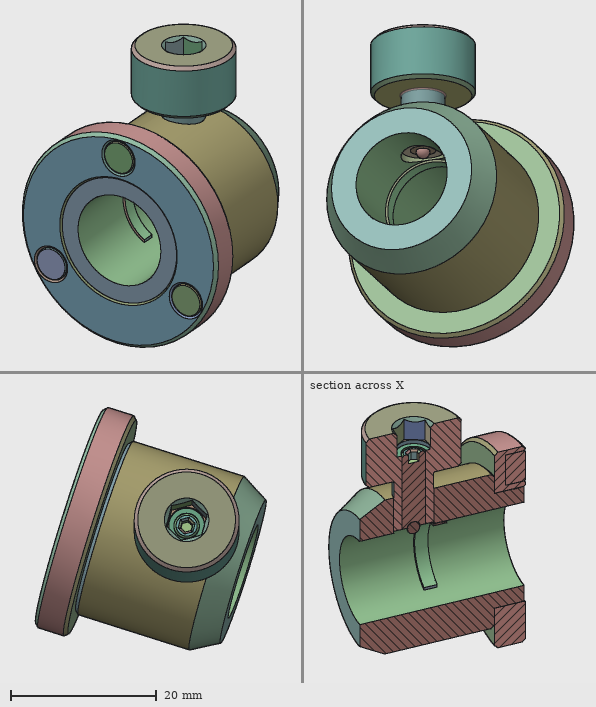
import cadquery as cq
import math


overall_height = 38.82

flange_diameter = 31.75
flange_radius = flange_diameter / 2
flange_thickness = 4.7
edge_chamfer = 0.5
spigot_radius = 9.25
spigot_hole_chamfer = 0.25
spigot_recess = spigot_hole_chamfer

magnet_count = 3
first_magnet_angle = 90.0
magnet_radius = 2.4
magnet_depth = 3.0
magnet_pitch_radius = 12.6
magnet_edge_chamfer = 0.15
magnet_hole_chamfer = 0.3

overall_length = 25.0
housing_radius = 12.5
bore_radius = 6.7
nose_length = 3.8
nose_angle = 30.0
nose_end_radius = housing_radius - nose_length * math.tan(math.radians(nose_angle))

ring_inner_radius = 6.35
ring_width = 2.0
ring_gap = 6.5

knob_y = 16.85
knob_radius = 7.2
knob_turn = 3.0
knob_height = 7.9
knob_top = overall_height - flange_radius
knob_bottom = knob_top - knob_height
stem_radius = 3.0
stem_end = 7.0
stem_fillet = 0.2
socket_flats = 5.0
socket_depth = 3.4
socket_mouth_radius = 3.05
socket_mouth_angle = 45.0
relief_radius = 2.45
relief_depth = 0.6
socket_floor = knob_top - socket_depth - relief_depth

set_screw_radius = 1.75
set_screw_chamfer = 0.3
set_screw_flats = 1.5
set_screw_hex_depth = 1.5
set_screw_hex_chamfer = 0.3
ball_radius = 0.95
ball_bottom = 5.87
ball_center = ball_bottom + ball_radius

ring_start = knob_y - stem_radius - ring_width


def y_cylinder(radius, start, length):
    """Solid cylinder on the bore axis, running toward +Y from start."""
    return cq.Workplane("XZ", origin=(0, start, 0)).circle(radius).extrude(-length)


def z_cylinder(radius, bottom, top):
    """Solid cylinder on the knob axis between two heights."""
    return cq.Workplane("XY", origin=(0, knob_y, bottom)).circle(radius).extrude(top - bottom)


def hexagon(flats, height):
    """Sketch of a hexagon on the knob axis, turned with the knob."""
    across_corners = flats / math.cos(math.pi / 6)
    plane = cq.Plane(origin=(0, knob_y, height)).rotated((0, 0, knob_turn))
    return cq.Workplane(plane).polygon(6, across_corners)


def magnet_places():
    """X, Z centres of the magnets; the first one sits at the top."""
    places = []
    for index in range(magnet_count):
        angle = math.radians(first_magnet_angle + index * 360 / magnet_count)
        places.append((magnet_pitch_radius * math.cos(angle), magnet_pitch_radius * math.sin(angle)))
    return places


def magnet_blank(x, z):
    """Plain cylinder that fills a magnet hole."""
    return cq.Workplane("XZ", origin=(x, 0, z)).circle(magnet_radius).extrude(-magnet_depth)


def make_magnet(x, z):
    return magnet_blank(x, z).faces("<Y").chamfer(magnet_edge_chamfer)


def chamfered_mouth(x, z, radius, chamfer):
    """Cone that chamfers the mouth of a hole in the flange face."""
    mouth = cq.Solid.makeCone(
        radius + chamfer, radius, chamfer, pnt=cq.Vector(x, 0, z), dir=cq.Vector(0, 1, 0)
    )
    return cq.Workplane(obj=mouth)


def make_flange():
    flange = y_cylinder(flange_radius, 0, flange_thickness).edges().chamfer(edge_chamfer)
    flange = flange.cut(y_cylinder(spigot_radius, 0, flange_thickness))
    flange = flange.cut(chamfered_mouth(0, 0, spigot_radius, spigot_hole_chamfer))
    for x, z in magnet_places():
        flange = flange.cut(magnet_blank(x, z))
        flange = flange.cut(chamfered_mouth(x, z, magnet_radius, magnet_hole_chamfer))
    return flange


def make_housing():
    shoulder = flange_thickness
    half_section = [
        (bore_radius, spigot_recess),
        (spigot_radius, spigot_recess),
        (spigot_radius, shoulder),
        (housing_radius - edge_chamfer, shoulder),
        (housing_radius, shoulder + edge_chamfer),
        (housing_radius, overall_length - nose_length),
        (nose_end_radius, overall_length),
        (bore_radius, overall_length),
    ]
    body = cq.Workplane("XY").polyline(half_section).close().revolve(360, (0, 0, 0), (0, 1, 0))
    return body.cut(z_cylinder(stem_radius, 0, housing_radius))


def make_spring_ring():
    ring = y_cylinder(bore_radius, ring_start, ring_width)
    ring = ring.cut(y_cylinder(ring_inner_radius, ring_start, ring_width))
    gap = cq.Workplane("XY", origin=(0, ring_start + ring_width / 2, 0))
    return ring.cut(gap.rect(ring_gap, ring_width).extrude(-bore_radius))


def make_set_screw():
    screw = z_cylinder(set_screw_radius, stem_end, socket_floor).faces(">Z").chamfer(set_screw_chamfer)
    hex_hole = hexagon(set_screw_flats, socket_floor).extrude(-set_screw_hex_depth)
    mouth_flats = set_screw_flats + 2 * set_screw_hex_chamfer
    hex_mouth = hexagon(mouth_flats, socket_floor).extrude(-set_screw_hex_chamfer, taper=45)
    return screw.cut(hex_hole).cut(hex_mouth).cut(make_ball())


def make_ball():
    return cq.Workplane("XY", origin=(0, knob_y, ball_center)).sphere(ball_radius)


def make_knob():
    half_section = (
        cq.Workplane("XZ", origin=(0, knob_y, 0))
        .moveTo(0, stem_end)
        .lineTo(stem_radius, stem_end)
        .lineTo(stem_radius, knob_bottom - stem_fillet)
        .tangentArcPoint((stem_radius + stem_fillet, knob_bottom), relative=False)
        .lineTo(knob_radius - edge_chamfer, knob_bottom)
        .lineTo(knob_radius, knob_bottom + edge_chamfer)
        .lineTo(knob_radius, knob_top - edge_chamfer)
        .lineTo(knob_radius - edge_chamfer, knob_top)
        .lineTo(0, knob_top)
        .close()
    )
    knob = half_section.revolve(360, (0, 0, 0), (0, 1, 0))
    mouth_height = socket_mouth_radius * math.tan(math.radians(socket_mouth_angle))
    mouth = cq.Solid.makeCone(
        socket_mouth_radius, 0, mouth_height, pnt=cq.Vector(0, knob_y, knob_top), dir=cq.Vector(0, 0, -1)
    )
    knob = knob.cut(hexagon(socket_flats, knob_top).extrude(-socket_depth))
    knob = knob.cut(cq.Workplane(obj=mouth))
    knob = knob.cut(z_cylinder(relief_radius, socket_floor, knob_top))
    return knob.cut(z_cylinder(set_screw_radius, stem_end, knob_top))


flange = make_flange()
housing = make_housing()
spring_ring = make_spring_ring()
knob = make_knob()
set_screw = make_set_screw()
ball = make_ball()
magnets = [make_magnet(x, z).val() for x, z in magnet_places()]

result = cq.Compound.makeCompound([
    flange.val(),
    housing.val(),
    spring_ring.val(),
    knob.val(),
    set_screw.val(),
    ball.val(),
    *magnets,
])